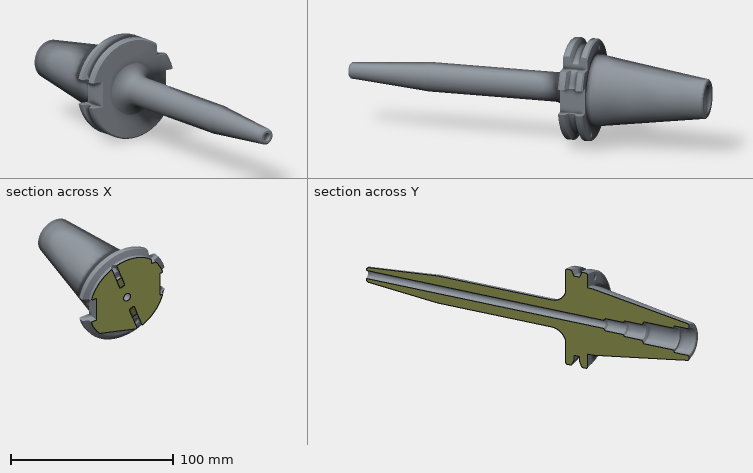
import cadquery as cq
import math


gauge_x = 68.3
gauge_radius = 22.2
taper_slope = 7 / 48
shank_end_radius = gauge_radius - taper_slope * gauge_x
shank_chamfer = 0.7

flange_start_x = 71.7
flange_end_x = 87.5
flange_radius = 31.7
flange_chamfer = 1.0
groove_x = 79.5
groove_floor_radius = 28.0
groove_floor_width = 3.7
groove_mouth_width = 7.3

neck_fillet_radius = 10.0
neck_start_x = 97.0
neck_radius = 9.1
nose_start_x = 177.5
tip_x = 228.5
tip_radius = 5.0
tip_chamfer = 1.1
neck_foot_radius = neck_radius + neck_fillet_radius - math.sqrt(
    neck_fillet_radius**2 - (neck_start_x - flange_end_x) ** 2
)

counterbore_radius = 8.7
counterbore_depth = 10.5
counterbore_chamfer = 0.5
thread_bore_radius = 7.0
thread_bore_end = 32
middle_bore_radius = 5.0
middle_bore_end = 45.7
inner_bore_radius = 3.9
inner_bore_end = 59.4
channel_bore_radius = 2.5
drill_cone_slope = 1.7

slot_width = 16
front_slot_floor = 22.8
rear_slot_floor = 25.0
notch_corner = 18.3
flat_angle = 75
flat_distance = 24.0
flat_width = 3.5

coolant_angle = 20
coolant_entry_radius = 27.2
coolant_radius = 1.8
coolant_tilt = 30
coolant_length = 13.7
screw_radius = 1.71
screw_top_radius = 17.1
screw_bottom_radius = 10.3


def make_blank():
    """Revolve the outer profile of shank, flange, neck and nose."""
    arc_angle = math.asin((neck_start_x - flange_end_x) / neck_fillet_radius) / 2
    fillet_middle = (
        neck_start_x - neck_fillet_radius * math.sin(arc_angle),
        neck_radius + neck_fillet_radius * (1 - math.cos(arc_angle)),
    )
    profile = (
        cq.Workplane("XZ")
        .lineTo(0, shank_end_radius - shank_chamfer)
        .lineTo(shank_chamfer, shank_end_radius + taper_slope * shank_chamfer)
        .lineTo(gauge_x, gauge_radius)
        .lineTo(flange_start_x, gauge_radius)
        .lineTo(flange_start_x, flange_radius - flange_chamfer)
        .lineTo(flange_start_x + flange_chamfer, flange_radius)
        .lineTo(groove_x - groove_mouth_width / 2, flange_radius)
        .lineTo(groove_x - groove_floor_width / 2, groove_floor_radius)
        .lineTo(groove_x + groove_floor_width / 2, groove_floor_radius)
        .lineTo(groove_x + groove_mouth_width / 2, flange_radius)
        .lineTo(flange_end_x - flange_chamfer, flange_radius)
        .lineTo(flange_end_x, flange_radius - flange_chamfer)
        .lineTo(flange_end_x, neck_foot_radius)
        .threePointArc(fillet_middle, (neck_start_x, neck_radius))
        .lineTo(nose_start_x, neck_radius)
        .lineTo(tip_x - tip_chamfer, tip_radius)
        .lineTo(tip_x, tip_radius - tip_chamfer)
        .lineTo(tip_x, 0)
        .close()
    )
    return profile.revolve(360, (0, 0, 0), (1, 0, 0))


def make_bore():
    """Revolve the counterbore, threaded bore, stepped bore and through channel."""
    profile = (
        cq.Workplane("XZ")
        .lineTo(0, counterbore_radius + counterbore_chamfer)
        .lineTo(counterbore_chamfer, counterbore_radius)
        .lineTo(counterbore_depth, counterbore_radius)
        .lineTo(counterbore_depth, thread_bore_radius)
    )
    steps = [
        (thread_bore_end, thread_bore_radius, middle_bore_radius),
        (middle_bore_end, middle_bore_radius, inner_bore_radius),
        (inner_bore_end, inner_bore_radius, channel_bore_radius),
    ]
    for step_end, radius, next_radius in steps:
        cone_end = step_end + (radius - next_radius) / drill_cone_slope
        profile = profile.lineTo(step_end, radius).lineTo(cone_end, next_radius)
    profile = profile.lineTo(tip_x, channel_bore_radius).lineTo(tip_x, 0).close()
    return profile.revolve(360, (0, 0, 0), (1, 0, 0))


def make_flange_box(y_start, z_start, y_size, z_size):
    """Box across the full flange width with its lower corner at the given Y and Z."""
    return cq.Workplane("XY").box(
        flange_end_x - flange_start_x, y_size, z_size, centered=False
    ).translate((flange_start_x, y_start, z_start))


def make_flange_cuts():
    """Two driving slots and the orientation notch."""
    rear_slot = make_flange_box(rear_slot_floor, -slot_width / 2, flange_radius, slot_width)
    front_slot = make_flange_box(
        -front_slot_floor - flange_radius, -slot_width / 2, flange_radius, slot_width
    )
    notch = make_flange_box(notch_corner, notch_corner, flange_radius, flange_radius)
    return [rear_slot, front_slot, notch]


def make_groove_flat():
    """Cutter for the flat across the groove floor on the -Y -Z side."""
    return (
        cq.Workplane("XY")
        .box(flat_width, flange_radius, 2 * flange_radius, centered=(True, False, True))
        .translate((groove_x, flat_distance, 0))
        .rotate((0, 0, 0), (1, 0, 0), 180 + flat_angle)
    )


def make_radial_rod(radius, inner_radius, outer_radius):
    """Round rod at the groove, pointing along +Z."""
    return (
        cq.Workplane("XY", origin=(groove_x, 0, inner_radius))
        .circle(radius)
        .extrude(outer_radius - inner_radius)
    )


def make_coolant_channel():
    """Tilted channel from the flange face and the radial screw hole it meets."""
    tilt = math.radians(coolant_tilt)
    direction = cq.Vector(math.cos(tilt), 0, -math.sin(tilt))
    entry = cq.Vector(flange_start_x, 0, coolant_entry_radius)
    start = entry - direction * coolant_radius
    tilted = cq.Workplane(
        cq.Solid.makeCylinder(coolant_radius, coolant_length, start, direction)
    )
    return tilted.union(make_radial_rod(screw_radius, screw_bottom_radius, flange_radius))


def place_coolant(shape):
    """Both places of a shape around the axis, opposite each other."""
    return [shape.rotate((0, 0, 0), (1, 0, 0), coolant_angle + turn) for turn in (0, 180)]


def make_holder():
    """Tool holder with all its holes and cuts."""
    body = make_blank().cut(make_bore())
    for cutter in make_flange_cuts():
        body = body.cut(cutter)
    body = body.cut(make_groove_flat())
    for channel in place_coolant(make_coolant_channel()):
        body = body.cut(channel)
    return body


def make_screws():
    """Sealing screws, one in each radial hole."""
    return place_coolant(make_radial_rod(screw_radius, screw_bottom_radius, screw_top_radius))


holder = make_holder()
screws = make_screws()

result = cq.Compound.makeCompound([holder.val(), *[screw.val() for screw in screws]])